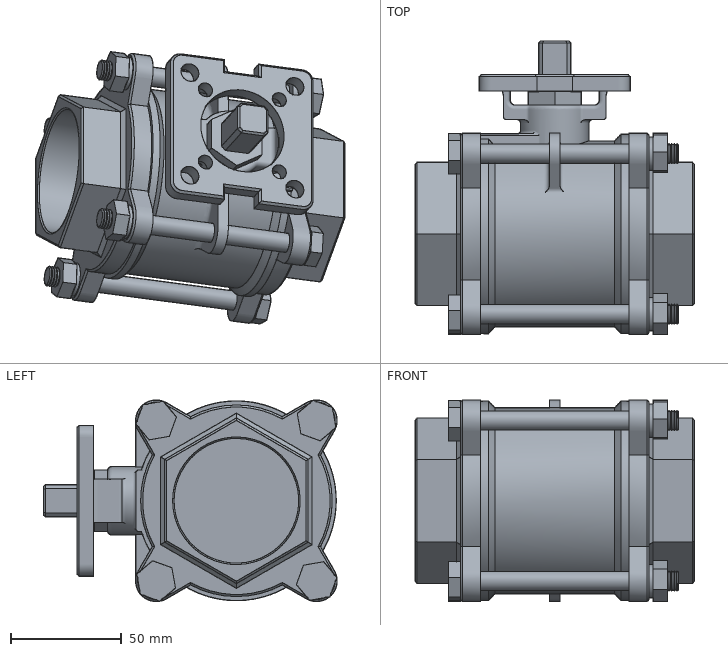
import cadquery as cq
import math


half_length = 62.9
hex_half_flats = 32.3
hex_edge_chamfer = 0.9
hex_root_flare = 1.9
bore_radius = 28.1
bore_depth = 20.5
bore_chamfer = 0.7

flange_outer_x = 42.5
flange_inner_x = 33.4
flange_radius = 43.2
flange_chamfer = 0.9
bolt_offset = 36.2
lug_radius = 9.3
lug_side_angle = math.radians(30)

body_radius = 42.0
rim_radius = 45.0
rim_inner_x = 30.0
rim_bevel_x = 27.0
middle_lug_width = 4.9
middle_lug_root_fillet = 2.1

rod_radius = 4.4
bolt_hex_radius = 9.3
head_height = 5.4
head_turn = 50
washer_radius = 7.5
washer_height = 1.9
nut_height = 6.5
nut_turn = 25
thread_end_x = 55.8
thread_radius = 4.5
thread_pitch = 1.2
thread_depth = 0.5

boss_radius = 15.5
boss_top = 58.1
boss_edge_fillet = 2.1
pad_root_fillet = 1.3
pad_half_width = 13.9
pad_top = 45.2
pad_chamfer = 0.8

plate_bottom = 64.4
plate_top = 71.9
plate_half_side = 34.0
plate_corner_radius = 5.3
plate_edge_chamfer = 1.0
plate_opening_radius = 19.9
plate_notch_width = 16.2
plate_notch_depth = 5.8
outer_hole_offset = 25.0
outer_hole_radius = 4.2
inner_hole_offset = 17.6
inner_hole_radius = 3.3
strap_half_span = 23.2
strap_arm = 3.2
strap_half_width = 9.8
strap_bottom = 51.5
strap_flare = 0.5
strap_flare_height = 2.0
strap_inner_radius = 2.1
strap_outer_radius = 1.3
strap_root_fillet = 1.6

stem_top = 87.0
stem_half_side = 7.3
stem_corner_chamfer = 1.9
stem_end_chamfer = 0.9
gland_nut_half_flats = 12.0
gland_nut_top = 64.1

corner_on_z = 90
bevel_angle = 45

tolerance = 0.01


def across_x(x):
    """Workplane at the given X, with local axes Y and Z."""
    return cq.Workplane("YZ", origin=(x, 0, 0))


def across_y(y):
    """Workplane at the given Y facing +Y, with local axes X and -Z."""
    return cq.Workplane("XZ", origin=(0, y, 0)).transformed(rotate=(180, 0, 0))


def block(low_corner, high_corner):
    sizes = [high - low for low, high in zip(low_corner, high_corner)]
    return cq.Workplane("XY").box(*sizes, centered=False).translate(low_corner)


def edges_inside(low_corner, high_corner, whole_edge=False):
    """Selector for edges lying in a box, judged by their centres or by their whole length."""
    low = [value - tolerance for value in low_corner]
    high = [value + tolerance for value in high_corner]
    return cq.selectors.BoxSelector(low, high, boundingbox=whole_edge)


def hex_prism(plane, half_flats, height, turn=0, taper=0):
    diameter = 2 * half_flats / math.cos(math.pi / 6)
    return plane.transformed(rotate=(0, 0, turn)).polygon(6, diameter).extrude(height, taper=taper)


def lug_profile(plane):
    """Bolt lug with straight sides tangent to its round tip, reaching inward to the axis."""
    sine = math.sin(lug_side_angle)
    cosine = math.cos(lug_side_angle)
    tangent_y = bolt_offset - lug_radius * sine
    tangent_z = bolt_offset + lug_radius * cosine
    side_start = tangent_z - tangent_y * math.tan(lug_side_angle)
    tip = bolt_offset + lug_radius / math.sqrt(2)
    return (
        plane.moveTo(0, 0)
        .lineTo(0, side_start)
        .lineTo(tangent_y, tangent_z)
        .threePointArc((tip, tip), (tangent_z, tangent_y))
        .lineTo(side_start, 0)
        .close()
    )


def four_around_axis(shape):
    """The shape repeated at quarter turns about the pipe axis."""
    return [shape.rotate((0, 0, 0), (1, 0, 0), 90 * turn) for turn in range(4)]


def make_end():
    """End piece on the -X side: lugged flange with a bored hexagon."""
    thickness = flange_outer_x - flange_inner_x
    flange = across_x(-flange_outer_x).circle(flange_radius).extrude(thickness)
    lug = lug_profile(across_x(-flange_outer_x)).extrude(thickness)
    for turned_lug in four_around_axis(lug):
        flange = flange.union(turned_lug)
    flange = flange.faces("<X").chamfer(flange_chamfer)

    hexagon = hex_prism(across_x(-half_length), hex_half_flats, half_length - flange_outer_x, corner_on_z)
    hexagon = hexagon.faces("<X").chamfer(hex_edge_chamfer)
    flare = hex_prism(
        across_x(-flange_outer_x), hex_half_flats + hex_root_flare, -hex_root_flare,
        corner_on_z, taper=bevel_angle)
    bore = across_x(-half_length).circle(bore_radius).extrude(bore_depth)
    bore_mouth = across_x(-half_length).circle(bore_radius + bore_chamfer)
    bore_mouth = bore_mouth.extrude(bore_chamfer, taper=bevel_angle)
    return flange.union(hexagon).union(flare).cut(bore).cut(bore_mouth)


def make_middle_lugs():
    """Two lugs holding the stem-side rods, joined by a straight web at the stem side."""
    start = across_x(-middle_lug_width / 2)
    lug = lug_profile(start).extrude(middle_lug_width)
    web = block((-middle_lug_width / 2, 0, -bolt_offset),
                (middle_lug_width / 2, bolt_offset + lug_radius, bolt_offset))
    return lug.union(lug.mirror("XY")).union(web)


def make_body():
    """Turned body with a bevelled rim at each end, carrying the two middle lugs."""
    right_profile = [
        (rim_bevel_x, body_radius),
        (rim_inner_x, rim_radius),
        (flange_inner_x, rim_radius),
        (flange_inner_x, 0),
    ]
    left_profile = [(-x, radius) for x, radius in reversed(right_profile)]
    outline = cq.Workplane("XY").polyline(left_profile + right_profile).close()
    body = outline.revolve(360, (0, 0, 0), (1, 0, 0)).union(make_middle_lugs())
    half_width = middle_lug_width / 2
    lug_roots = edges_inside(
        (-half_width, 0, -body_radius), (half_width, body_radius, body_radius), whole_edge=True)
    return body.edges(lug_roots).fillet(middle_lug_root_fillet)


def thread_ridges(start, end):
    """Outline points of V-shaped ridges along X, between two positions."""
    count = round((end - start) / thread_pitch)
    pitch = (end - start) / count
    points = [(start, thread_radius - thread_depth)]
    for ridge in range(count):
        left = start + ridge * pitch
        points.append((left + pitch / 2, thread_radius))
        points.append((left + pitch, thread_radius - thread_depth))
    return points


def make_bolt():
    """Hex bolt with washer and nut; the thread past the nut is a row of ridges."""
    hex_half = bolt_hex_radius * math.cos(math.pi / 6)
    nut_start = flange_outer_x + washer_height
    nut_end = nut_start + nut_height
    head_start = -flange_outer_x - head_height

    def at(x):
        return across_x(x).center(bolt_offset, bolt_offset)

    bolt = hex_prism(at(head_start), hex_half, head_height, head_turn)
    bolt = bolt.union(at(head_start).circle(rod_radius).extrude(nut_end - head_start))
    bolt = bolt.union(at(flange_outer_x).circle(washer_radius).extrude(washer_height))
    bolt = bolt.union(hex_prism(at(nut_start), hex_half, nut_height, nut_turn))
    thread_outline = [(nut_end, 0)] + thread_ridges(nut_end, thread_end_x) + [(thread_end_x, 0)]
    thread = cq.Workplane("XY").polyline(thread_outline).close().revolve(360, (0, 0, 0), (1, 0, 0))
    return bolt.union(thread.translate((0, bolt_offset, bolt_offset)))


def make_strap():
    """U-shaped strap under the plate, its arms flaring slightly where they meet the plate."""
    right_side = [
        (strap_half_span, strap_bottom),
        (strap_half_span, plate_bottom - strap_flare_height),
        (strap_half_span + strap_flare, plate_bottom),
    ]
    left_side = [(-x, y) for x, y in reversed(right_side)]
    outline = cq.Workplane("XY").polyline(right_side + left_side).close()
    strap = outline.extrude(strap_half_width, both=True)
    strap = strap.edges("<Y and |Z").fillet(strap_outer_radius)
    inner_half_span = strap_half_span - strap_arm
    channel = block((-inner_half_span, boss_top, -strap_half_width),
                    (inner_half_span, plate_top, strap_half_width))
    channel = channel.edges("<Y and |Z").fillet(strap_inner_radius)
    return strap.cut(channel)


def make_pad():
    """Flat pad on the -X side, running from the flange to the boss."""
    pad = block((-flange_inner_x, 0, -pad_half_width), (0, pad_top, pad_half_width))
    return pad.edges(">Y and |X").chamfer(pad_chamfer)


def make_neck():
    """Round stem boss blended into the strap above and into the pad beside it."""
    neck = across_y(0).circle(boss_radius).extrude(boss_top).union(make_strap())
    strap_roots = edges_inside(
        (-boss_radius, strap_bottom, -strap_half_width),
        (boss_radius, boss_top - boss_edge_fillet, strap_half_width))
    neck = neck.edges(strap_roots).fillet(strap_root_fillet)

    top_reach = boss_radius + strap_root_fillet
    top_edges = edges_inside((-top_reach, boss_top, -boss_radius), (top_reach, boss_top, boss_radius))
    neck = neck.edges(top_edges).fillet(boss_edge_fillet)

    neck = neck.union(make_pad())
    pad_roots = edges_inside(
        (-boss_radius, pad_root_fillet, -pad_half_width), (0, pad_top, pad_half_width))
    return neck.edges(pad_roots).fillet(pad_root_fillet)


def square_points(offset):
    return [(x, y) for x in (-offset, offset) for y in (-offset, offset)]


def make_plate():
    """Square actuator plate with two bolt circles and a notch in the +Z and -Z edges."""
    side = 2 * plate_half_side
    plate = across_y(plate_bottom).rect(side, side).extrude(plate_top - plate_bottom)
    plate = plate.edges("|Y").fillet(plate_corner_radius)
    notch = block((-plate_notch_width / 2, plate_bottom, plate_half_side - plate_notch_depth),
                  (plate_notch_width / 2, plate_top, plate_half_side))
    plate = plate.cut(notch).cut(notch.mirror("XY"))
    plate = plate.faces(">Y").chamfer(plate_edge_chamfer)
    holes = across_y(plate_bottom).circle(plate_opening_radius)
    holes = holes.pushPoints(square_points(outer_hole_offset)).circle(outer_hole_radius)
    holes = holes.pushPoints(square_points(inner_hole_offset)).circle(inner_hole_radius)
    return plate.cut(holes.extrude(plate_top - plate_bottom))


def make_stem():
    """Square stem rising out of its gland nut."""
    stem_side = 2 * stem_half_side
    stem = across_y(boss_top).rect(stem_side, stem_side).extrude(stem_top - boss_top)
    stem = stem.edges("|Y").chamfer(stem_corner_chamfer)
    stem = stem.faces(">Y").chamfer(stem_end_chamfer)
    gland_nut_height = gland_nut_top - boss_top
    gland_nut = hex_prism(across_y(boss_top), gland_nut_half_flats, gland_nut_height, corner_on_z)
    return stem.union(gland_nut)


left_end = make_end()
parts = [left_end, left_end.mirror("YZ"), make_neck(), make_plate(), make_stem()]
parts += four_around_axis(make_bolt())
result = make_body()
for part in parts:
    result = result.union(part)